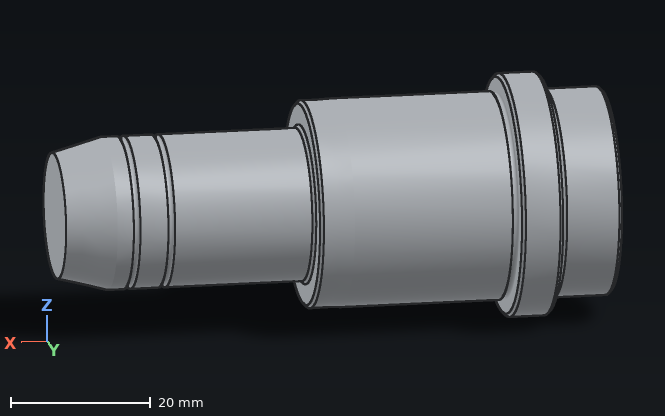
import cadquery as cq
import math

body_radius = 30.0 / 2
flange_radius = 35.0 / 2
neck_radius = 22.0 / 2

length = 80.0
flange_start = 9.0
flange_end = 15.0
shoulder_x = 44.0
neck_groove_starts = (64.5, 69.5)
tip_start = 72.8

chamfer = 0.5
groove_radius = 0.5
lead_in_length = 5.0
lead_in_drop = 0.04
tip_angle = math.radians(15)

groove_width = 2 * groove_radius
lead_in_start = shoulder_x - lead_in_length
lead_in_radius = body_radius - lead_in_drop
tip_radius = neck_radius - (length - tip_start) * math.tan(tip_angle)


def add_groove(profile, start_x, radius):
    """Add a half-round groove that starts at start_x on a cylinder of the given radius."""
    bottom = (start_x + groove_radius, radius - groove_radius)
    end = (start_x + groove_width, radius)
    return profile.lineTo(start_x, radius).threePointArc(bottom, end)


profile = cq.Workplane("XY").lineTo(0, body_radius - chamfer).lineTo(chamfer, body_radius)
profile = add_groove(profile, flange_start - groove_width, body_radius)

profile = (
    profile.lineTo(flange_start, flange_radius - chamfer)
    .lineTo(flange_start + chamfer, flange_radius)
    .lineTo(flange_end - chamfer, flange_radius)
    .lineTo(flange_end, flange_radius - chamfer)
)

profile = add_groove(profile, flange_end, body_radius)
profile = (
    profile.lineTo(lead_in_start, body_radius)
    .lineTo(shoulder_x - chamfer, lead_in_radius)
    .lineTo(shoulder_x, lead_in_radius - chamfer)
)

profile = profile.lineTo(shoulder_x, neck_radius + chamfer)
profile = profile.lineTo(shoulder_x + chamfer, neck_radius)
for groove_start in neck_groove_starts:
    profile = add_groove(profile, groove_start, neck_radius)

profile = profile.lineTo(tip_start, neck_radius).lineTo(length, tip_radius).lineTo(length, 0).close()

result = profile.revolve(360, (0, 0, 0), (1, 0, 0))